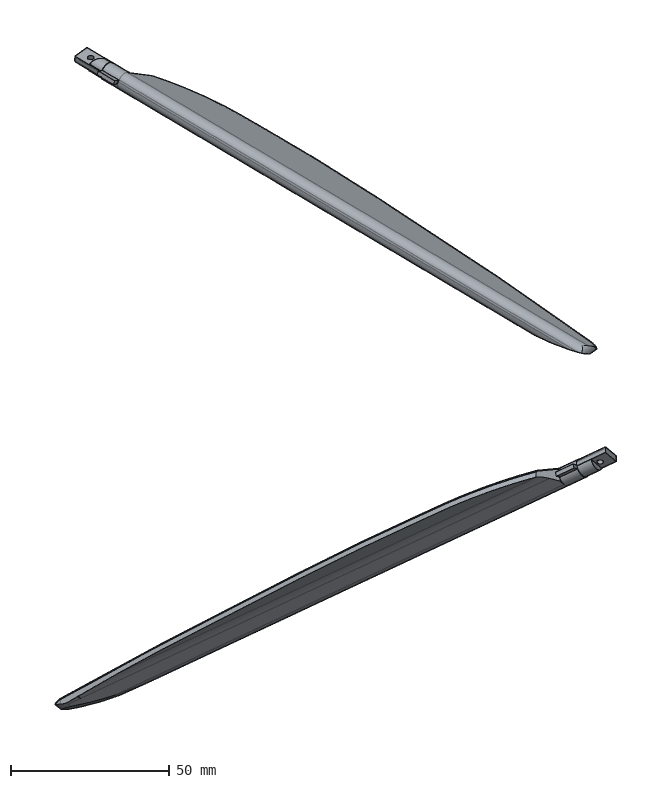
import cadquery as cq
import math

axis_angle = 30.38

tube_radius = 3.1
axis_z = -tube_radius
tube_bottom_z = -2 * tube_radius

flat_lower_angle = math.radians(26)
flat_upper_angle = math.radians(39)

plate_slope = math.radians(26)
plate_thickness = 2.7
belly_radius = 9.0
section_chord = 25.0
root_station = 14.3
tip_station = 212.4

trailing_edge = [
    (18.5, 9.2),
    (29.4, 14.0),
    (41.4, 16.75),
    (59.4, 17.65),
    (77.4, 17.85),
    (95.4, 17.2),
    (119.4, 15.6),
    (143.4, 13.4),
    (167.4, 11.35),
    (191.4, 8.0),
    (209.0, 5.75),
]
tip_corner_end = (tip_station, 4.0)
tip_corner_mid = (tip_station - 1.2, 5.0)
trailing_edge_bevel = 0.9
root_edge_bevel = 0.6

tip_top_rounding = 2.6
tip_bottom_rounding = 11.0
tip_nose_z = -2.6

sweep_start = 180.0
sweep_depth = 3.9
sweep_direction = 57

collar_start = 7.1
collar_end = 14.1
wing_half_width = 5.0
wing_thickness = 1.4
wing_tilt = 24

shank_radius = 2.95
tang_end = -4.2
tang_width = 5.7
tang_top_z = -1.7
tang_thickness = 2.3
pin_hole_diameter = 2.0
upper_step_x = 2.9
lower_step_station = 1.5

clearance = 30.0


def axial_cylinder(radius, start, end):
    """Cylinder on the blade axis between two stations."""
    return cq.Workplane("YZ", origin=(start, 0, axis_z)).circle(radius).extrude(end - start)


def block(x_range, y_range, z_range):
    """Axis-aligned block given by its limits."""
    size = [high - low for low, high in (x_range, y_range, z_range)]
    corner = (x_range[0], y_range[0], z_range[0])
    return cq.Workplane("XY").box(*size, centered=False).translate(corner)


def nose_point(angle):
    """Point on the nose circle, with the angle measured up from the leading edge."""
    return (-tube_radius * math.cos(angle), axis_z + tube_radius * math.sin(angle))


def plate_top_z(chord_y):
    """Height of the plate's top face, which is tangent to the nose circle."""
    return axis_z + tube_radius / math.cos(plate_slope) - chord_y * math.tan(plate_slope)


def blade_section():
    """Round nose running tangentially into a sloping plate with a hollowed underside."""
    sin_slope = math.sin(plate_slope)
    cos_slope = math.cos(plate_slope)
    crease = nose_point(math.pi / 2 + plate_slope)
    top_end = (section_chord, plate_top_z(section_chord))
    bottom_end = (section_chord, top_end[1] - plate_thickness / cos_slope)

    tangent_length = belly_radius * math.tan(plate_slope / 2)
    corner_y = section_chord - (tube_bottom_z - bottom_end[1]) / math.tan(plate_slope)
    belly_start = (corner_y - tangent_length, tube_bottom_z)
    belly_end = (
        corner_y + tangent_length * cos_slope,
        tube_bottom_z - tangent_length * sin_slope,
    )
    belly_mid = (
        belly_start[0] + belly_radius * math.sin(plate_slope / 2),
        tube_bottom_z - belly_radius * (1 - math.cos(plate_slope / 2)),
    )
    return (
        cq.Workplane("YZ", origin=(root_station, 0, 0))
        .moveTo(0, tube_bottom_z)
        .threePointArc((-tube_radius, axis_z), nose_point(flat_lower_angle))
        .lineTo(*nose_point(flat_upper_angle))
        .threePointArc((0, 0), crease)
        .lineTo(*top_end)
        .lineTo(*bottom_end)
        .lineTo(*belly_end)
        .threePointArc(belly_mid, belly_start)
        .close()
    )


def root_edge_y():
    """Where the root edge, square to the part's X axis, meets the root station."""
    corner_x, corner_y = trailing_edge[0]
    return corner_y - (corner_x - root_station) / math.tan(math.radians(axis_angle))


def root_edge_middle():
    """Middle of the upper root edge of the plate."""
    corner_x, corner_y = trailing_edge[0]
    middle_y = (corner_y + root_edge_y()) / 2
    return ((corner_x + root_station) / 2, middle_y, plate_top_z(middle_y))


def plan_outline():
    """Blade outline from above, as a tall prism."""
    root_corner = trailing_edge[0]
    return (
        cq.Workplane("XY")
        .moveTo(root_station, -tube_radius)
        .lineTo(root_station, root_edge_y())
        .lineTo(*root_corner)
        .spline(trailing_edge[1:], includeCurrent=True)
        .threePointArc(tip_corner_mid, tip_corner_end)
        .lineTo(tip_station, -tube_radius)
        .close()
        .extrude(clearance, both=True)
    )


def tip_envelope():
    """Prism along the chord whose far end is rounded over the top and swept up from below."""
    top_start = tip_station - tip_top_rounding
    bottom_start = tip_station - tip_bottom_rounding
    bottom_rise = tip_nose_z - tube_bottom_z
    diagonal = math.sqrt(0.5)
    top_mid = (top_start + tip_top_rounding * diagonal, tip_nose_z * (1 - diagonal))
    bottom_mid = (
        bottom_start + tip_bottom_rounding * diagonal,
        tip_nose_z - bottom_rise * diagonal,
    )
    return (
        cq.Workplane("XZ")
        .moveTo(root_station, 0)
        .lineTo(top_start, 0)
        .threePointArc(top_mid, (tip_station, tip_nose_z))
        .threePointArc(bottom_mid, (bottom_start, tube_bottom_z))
        .lineTo(tip_station / 2, -clearance)
        .lineTo(root_station, -clearance)
        .close()
        .extrude(clearance, both=True)
    )


def nose_sweep():
    """Cutter under the nose, tangent to it at its start and deepest at the tip."""
    length = tip_station - sweep_start
    radius = (length**2 + sweep_depth**2) / (2 * sweep_depth)
    mid_rise = radius - math.sqrt(radius**2 - (length / 2) ** 2)
    cutter = (
        cq.Workplane("XZ")
        .moveTo(sweep_start, tube_bottom_z)
        .threePointArc(
            (sweep_start + length / 2, tube_bottom_z + mid_rise),
            (tip_station, tube_bottom_z + sweep_depth),
        )
        .lineTo(tip_station, -clearance)
        .lineTo(sweep_start, -clearance)
        .close()
        .extrude(clearance, both=True)
    )
    return cutter.rotate((0, 0, axis_z), (1, 0, axis_z), sweep_direction - 90)


def make_blade():
    blade = blade_section().extrude(tip_station - root_station).intersect(plan_outline())
    root_edge = blade.edges("%LINE").edges(cq.selectors.NearestToPointSelector(root_edge_middle()))
    blade = root_edge.chamfer(root_edge_bevel)
    upper_edge = max(blade.edges("%BSPLINE").vals(), key=lambda edge: edge.Length())
    blade = blade.newObject([upper_edge]).chamfer(trailing_edge_bevel)
    return blade.intersect(tip_envelope()).cut(nose_sweep())


def make_collar():
    wings = block(
        (collar_start, collar_end),
        (-wing_half_width, wing_half_width),
        (axis_z - wing_thickness / 2, axis_z + wing_thickness / 2),
    )
    wings = wings.rotate((0, 0, axis_z), (1, 0, axis_z), -wing_tilt)
    return axial_cylinder(tube_radius, collar_start, root_station).union(wings)


def make_shank():
    """Round shank whose upper and lower parts are cut back to leave the flat tang."""
    tang_bottom_z = tang_top_z - tang_thickness
    half_width = tang_width / 2
    rod = axial_cylinder(shank_radius, tang_end, collar_start)
    above_tang = block((-clearance, upper_step_x), (-clearance, clearance), (tang_top_z, clearance))
    above_tang = above_tang.rotate((0, 0, 0), (0, 0, 1), -axis_angle)
    below_tang = block(
        (-clearance, lower_step_station), (-clearance, clearance), (-clearance, tang_bottom_z)
    )
    tang = block((tang_end, collar_start), (-half_width, half_width), (tang_bottom_z, tang_top_z))
    pin_hole = cq.Workplane("XY").circle(pin_hole_diameter / 2).extrude(-clearance)
    return rod.cut(above_tang).cut(below_tang).union(tang).cut(pin_hole)


local_part = make_blade().union(make_collar()).union(make_shank())
result = local_part.rotate((0, 0, 0), (0, 0, 1), axis_angle)